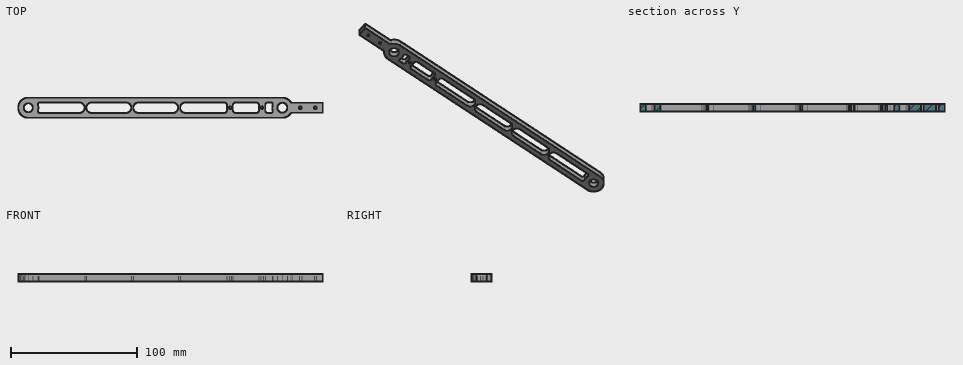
import cadquery as cq
import math

length = 240.0
width = 16.0
thickness = 6.2
end_radius = width / 2

left_pivot_x = end_radius
right_pivot_x = 208.0
left_pivot_diameter = 7.0
right_pivot_diameter = 7.7

tail_width = width / 2
shoulder_fillet_radius = 1.5
window_width = width / 2

first_window_end = 52.3
round_slot_count = 2
round_slot_length = 35.3
round_slot_pitch = 37.0
second_window_start = 53.7
fourth_window_start = second_window_start + round_slot_count * round_slot_pitch
fourth_window_end = 164.4
fifth_window_start = 169.2
fifth_window_end = 189.5
last_window_start = 194.5
corner_radius = 2.0
pivot_side_corner_radius = 1.2

pin_diameter = 2.0
pin_positions = [167.0, 192.0, 222.2, 234.0]


def box_between(start, end, box_width):
    """Full-thickness block from start to end in X, centred on the bar axis."""
    block = cq.Workplane("XY").box(end - start, box_width, thickness, centered=(False, True, False))
    return block.translate((start, 0, 0))


def disc(x, diameter):
    """Full-thickness cylinder on the bar axis."""
    return cq.Workplane("XY").center(x, 0).circle(diameter / 2).extrude(thickness)


def round_slot(start, end):
    """Window with semicircular ends."""
    slot_length = end - start
    middle = cq.Workplane("XY").center((start + end) / 2, 0)
    return middle.slot2D(slot_length, window_width).extrude(thickness)


def make_bar():
    bar = box_between(left_pivot_x, right_pivot_x, width)
    for pivot_x in (left_pivot_x, right_pivot_x):
        bar = bar.union(disc(pivot_x, width))
    bar = bar.union(box_between(right_pivot_x, length, tail_width))
    shoulder_x = right_pivot_x + math.sqrt(end_radius**2 - (tail_width / 2) ** 2)
    for side in (-1, 1):
        corner = (shoulder_x, side * tail_width / 2, 0)
        bar = bar.edges("|Z").edges(cq.NearestToPointSelector(corner)).fillet(shoulder_fillet_radius)
    return bar


def make_first_window():
    """Rounded on the right; on the left it follows the ring around the pivot."""
    straight_end = first_window_end - window_width / 2
    window = box_between(left_pivot_x, straight_end, window_width).cut(disc(left_pivot_x, width))
    window = window.edges("|Z and <X").fillet(pivot_side_corner_radius)
    return window.union(disc(straight_end, window_width))


def make_last_window():
    """Short window whose right side follows the ring around the pivot."""
    window = box_between(last_window_start, right_pivot_x, window_width).cut(disc(right_pivot_x, width))
    window = window.edges("|Z and >X").fillet(pivot_side_corner_radius)
    return window.edges("|Z and <X").fillet(corner_radius)


def make_fourth_window():
    """Rounded on the left, square with filleted corners on the right."""
    straight_start = fourth_window_start + window_width / 2
    window = box_between(straight_start, fourth_window_end, window_width)
    window = window.edges("|Z and >X").fillet(corner_radius)
    return window.union(disc(straight_start, window_width))


def make_fifth_window():
    return box_between(fifth_window_start, fifth_window_end, window_width).edges("|Z").fillet(corner_radius)


result = make_bar()
result = result.cut(disc(left_pivot_x, left_pivot_diameter))
result = result.cut(disc(right_pivot_x, right_pivot_diameter))
result = result.cut(make_first_window())
for index in range(round_slot_count):
    slot_start = second_window_start + index * round_slot_pitch
    result = result.cut(round_slot(slot_start, slot_start + round_slot_length))
result = result.cut(make_fourth_window())
result = result.cut(make_fifth_window())
result = result.cut(make_last_window())
for pin_x in pin_positions:
    result = result.cut(disc(pin_x, pin_diameter))